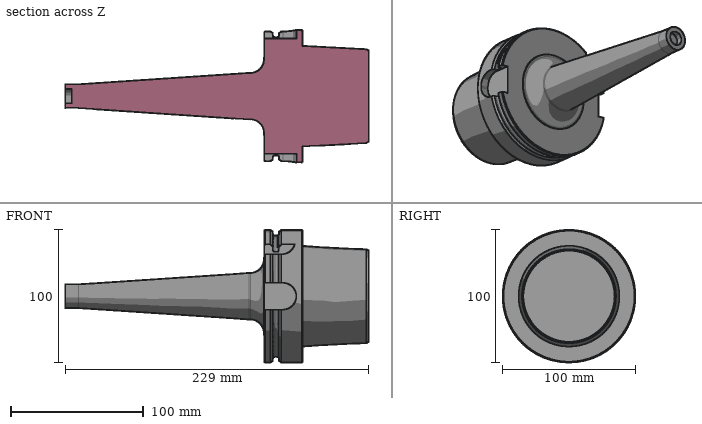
import cadquery as cq
import math

total_length = 229.0
taper_length = 50.0
flange_width = 29.0
flange_back = total_length - taper_length
flange_front = flange_back - flange_width

nose_radius = 18.0 / 2
nose_length = 9.8
neck_radius = 35.3 / 2
neck_land = 1.4
root_radius = 10.0
boss_radius = 29.0
boss_height = 0.2
bore_diameter = 10.5
bore_depth = 5.0

flange_radius = 100.0 / 2
flange_chamfer = 0.7
groove_to_flange_back = 20.2
groove_center = flange_back - groove_to_flange_back
groove_floor_radius = 45.8
groove_half_width = 2.3
groove_mouth_half_width = 4.1
groove_mouth_depth = 1.4
groove_floor_fillet = 1.4
cut_clearance = 2.3

taper_front_radius = 38.0
taper_back_radius = 35.5
taper_end_length = 2.0
taper_end_drop = 1.1

keyway_floor = 43.5
keyway_end = 174.3
keyway_corner_radius = 10.0
front_keyway_width = 2 * keyway_corner_radius
back_keyway_width = 21.3

notch_y = -31.4
notch_z = 31.5
notch_straight_end = 163.0
notch_end_radius = 10.5


def make_body():
    """Revolve nose, flange and clamping taper in one profile (x along, y radial)."""
    boss_face = flange_front - boss_height
    root_start = boss_face - root_radius
    arc_step = root_radius * math.sqrt(0.5)
    profile = (
        cq.Workplane("XY")
        .moveTo(0, 0)
        .lineTo(0, nose_radius)
        .lineTo(nose_length, nose_radius)
        .lineTo(root_start - neck_land, neck_radius)
        .lineTo(root_start, neck_radius)
        .threePointArc(
            (root_start + arc_step, neck_radius + root_radius - arc_step),
            (boss_face, neck_radius + root_radius),
        )
        .lineTo(boss_face, boss_radius)
        .lineTo(flange_front, boss_radius + boss_height)
        .lineTo(flange_front, flange_radius - flange_chamfer)
        .lineTo(flange_front + flange_chamfer, flange_radius)
        .lineTo(flange_back - flange_chamfer, flange_radius)
        .lineTo(flange_back, flange_radius - flange_chamfer)
        .lineTo(flange_back, taper_front_radius)
        .lineTo(total_length - taper_end_length, taper_back_radius)
        .lineTo(total_length, taper_back_radius - taper_end_drop)
        .lineTo(total_length, 0)
        .close()
    )
    return profile.revolve(360, (0, 0, 0), (1, 0, 0))


def make_gripper_groove():
    """Ring with a flared mouth and a rounded floor."""
    flare_radius = flange_radius - groove_mouth_depth
    floor_corner = groove_floor_radius + groove_floor_fillet
    floor_half_width = groove_half_width - groove_floor_fillet
    arc_inset = groove_floor_fillet * (1 - math.sqrt(0.5))
    outside_radius = flange_radius + cut_clearance
    left = groove_center - groove_half_width
    right = groove_center + groove_half_width
    profile = (
        cq.Workplane("XY")
        .moveTo(groove_center - groove_mouth_half_width, outside_radius)
        .lineTo(groove_center - groove_mouth_half_width, flange_radius)
        .lineTo(left, flare_radius)
        .lineTo(left, floor_corner)
        .threePointArc(
            (left + arc_inset, groove_floor_radius + arc_inset),
            (groove_center - floor_half_width, groove_floor_radius),
        )
        .lineTo(groove_center + floor_half_width, groove_floor_radius)
        .threePointArc(
            (right - arc_inset, groove_floor_radius + arc_inset),
            (right, floor_corner),
        )
        .lineTo(right, flare_radius)
        .lineTo(groove_center + groove_mouth_half_width, flange_radius)
        .lineTo(groove_center + groove_mouth_half_width, outside_radius)
        .close()
    )
    return profile.revolve(360, (0, 0, 0), (1, 0, 0))


def make_keyway(side, width):
    """Keyway open toward the nose, round ended toward the taper; side is the sign of Y."""
    length = keyway_end - flange_front
    depth = flange_radius - keyway_floor
    if width > 2 * keyway_corner_radius:
        slot = cq.Workplane("XY").box(2 * length, 2 * depth, width)
        slot = slot.edges("|Y").fillet(keyway_corner_radius)
    else:
        slot = cq.Workplane("XZ").slot2D(2 * length, width).extrude(depth, both=True)
    return slot.translate((flange_front, side * flange_radius, 0))


def make_notch():
    """Two-walled corner notch whose floor runs out in an arc."""
    outer = flange_radius
    start = flange_front - boss_height
    arc_center_z = notch_z + notch_end_radius
    arc_step = notch_end_radius * math.sqrt(0.5)
    return (
        cq.Workplane("XZ", origin=(0, notch_y, 0))
        .moveTo(start, notch_z)
        .lineTo(notch_straight_end, notch_z)
        .threePointArc(
            (notch_straight_end + arc_step, arc_center_z - arc_step),
            (notch_straight_end + notch_end_radius, arc_center_z),
        )
        .lineTo(notch_straight_end + notch_end_radius, outer)
        .lineTo(start, outer)
        .close()
        .extrude(outer + notch_y)
    )


bore = cq.Workplane("YZ").circle(bore_diameter / 2).extrude(bore_depth)

result = (
    make_body()
    .cut(make_gripper_groove())
    .cut(make_keyway(-1, front_keyway_width))
    .cut(make_keyway(1, back_keyway_width))
    .cut(make_notch())
    .cut(bore)
)